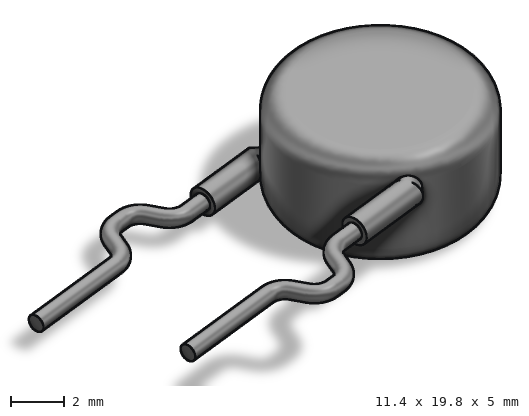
import cadquery as cq
import math

BODY_RADIUS = 4.5
BODY_HEIGHT = 5.0
RIM_RADIUS = 1.0

LEAD_SPACING = 7.49
LEAD_HEIGHT = 1.29
LEAD_DIAMETER = 0.73
LEAD_LENGTH = 15.31

SLEEVE_DIAMETER = 1.2
SLEEVE_END = 5.8
ELBOW_DISTANCE = 2.83
ELBOW_ANGLE = 45
ELBOW_REACH = 1.58

KINK_CENTRE = 8.74
KINK_OFFSET = 1.58
KINK_CREST = 0.38
BEND_RADIUS = 0.87
BEND_ANGLE = 65

LEAD_X = LEAD_SPACING / 2


def make_disc():
    disc = cq.Workplane("XY").cylinder(BODY_HEIGHT, BODY_RADIUS)
    return disc.edges("%CIRCLE").fillet(RIM_RADIUS)


def make_sleeve(side):
    """Straight sleeve with a mitred elbow that turns inwards into the disc."""
    angle = math.radians(ELBOW_ANGLE)
    end = (side * LEAD_X, -SLEEVE_END)
    elbow = (side * LEAD_X, -ELBOW_DISTANCE)
    inner_end = (
        elbow[0] - side * ELBOW_REACH * math.sin(angle),
        elbow[1] + ELBOW_REACH * math.cos(angle),
    )
    path = cq.Workplane("XY").polyline([end, elbow, inner_end])
    profile = cq.Workplane("XZ", origin=(*end, 0)).circle(SLEEVE_DIAMETER / 2)
    sleeve = profile.sweep(path, transition="right")
    return sleeve.translate((0, 0, side * LEAD_HEIGHT))


def kink_points():
    """Half of the kink, as (outward offset, distance before the kink centre)."""
    angle = math.radians(BEND_ANGLE)
    rise = BEND_RADIUS * (1 - math.cos(angle))
    run = BEND_RADIUS * math.sin(angle)
    mid_rise = BEND_RADIUS * (1 - math.cos(angle / 2))
    mid_run = BEND_RADIUS * math.sin(angle / 2)
    slant_run = (KINK_OFFSET - 2 * rise) / math.tan(angle)
    crest = KINK_CREST / 2
    start = crest + 2 * run + slant_run
    return [
        (0, start),
        (mid_rise, start - mid_run),
        (rise, start - run),
        (KINK_OFFSET - rise, crest + run),
        (KINK_OFFSET - mid_rise, crest + mid_run),
        (KINK_OFFSET, crest),
    ]


def make_lead(side):
    """Round wire from the sleeve elbow to the tip, with the outward kink."""

    def place(offset, distance):
        return (side * (LEAD_X + offset), -distance)

    half = kink_points()
    before = [place(offset, KINK_CENTRE - gap) for offset, gap in half]
    after = [place(offset, KINK_CENTRE + gap) for offset, gap in reversed(half)]
    start = place(0, ELBOW_DISTANCE)
    path = cq.Workplane("XY").moveTo(*start)
    for first, first_mid, slant, bend, bend_mid, last in (before, after):
        path = path.lineTo(*first).threePointArc(first_mid, slant)
        path = path.lineTo(*bend).threePointArc(bend_mid, last)
    path = path.lineTo(*place(0, LEAD_LENGTH))
    profile = cq.Workplane("XZ", origin=(*start, 0)).circle(LEAD_DIAMETER / 2)
    return profile.sweep(path).translate((0, 0, side * LEAD_HEIGHT))


SIDES = (-1, 1)
leads = [make_lead(side) for side in SIDES]

body = make_disc()
for side in SIDES:
    body = body.union(make_sleeve(side))
for lead in leads:
    body = body.cut(lead)

result = cq.Compound.makeCompound([body.val(), *[lead.val() for lead in leads]])